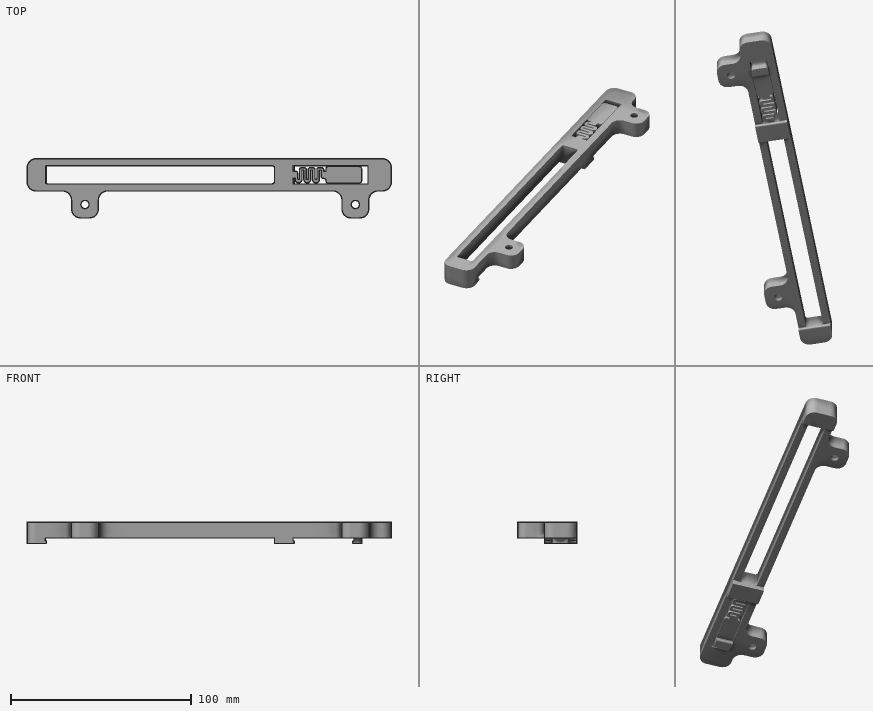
import cadquery as cq

bar_length = 202.3
bar_width = 18.0
plate_thickness = 9.0
corner_radius = 5.0

tab_width = 15.0
tab_reach = 15.0
tab_spacing = 150.0
first_tab_x = 32.2
hole_diameter = 4.5
hole_to_tip = 7.5

window_width = 10.0
long_window_start = 10.1
long_window_end = 137.3
long_window_radius = 1.2
latch_window_start = 147.7
latch_window_end = 189.1

leg_height = 3.0
lip_radius = 0.8

slider_start = 165.9
slider_end = 185.9
slider_clearance = 0.25
slider_left_radius = 1.5
slider_right_radius = 1.8
foot_length = 4.5

strip_width = 1.5
strip_gap = 0.91
strip_count = 7
first_strip_offset = 1.11
upper_bend_inner = 2.6
upper_bend_outer = 4.0
upper_bend_radius = 1.2
lower_bend_inner = -2.5
lower_bend_outer = -4.5
lower_bend_radius = 1.8
link_top = 2.0
link_bottom = -2.0
link_corner_radius = 1.2
link_root_radius = 1.2

half_bar = bar_width / 2
slider_width = window_width - 2 * slider_clearance
strip_pitch = strip_width + strip_gap
first_strip_start = latch_window_start + first_strip_offset
last_strip_start = first_strip_start + (strip_count - 1) * strip_pitch
tab_positions = [first_tab_x, first_tab_x + tab_spacing]


def block(x_start, x_end, y_start, y_end, z_start, z_end):
    """Axis-aligned box given by its limits."""
    size = (x_end - x_start, y_end - y_start, z_end - z_start)
    return cq.Workplane("XY").box(*size, centered=False).translate((x_start, y_start, z_start))


def make_bar():
    """Rounded bar without tabs, reaching down to the underside of the legs."""
    bar = block(0, bar_length, -half_bar, half_bar, -leg_height, plate_thickness)
    return bar.edges("|Z").fillet(corner_radius)


def make_plate():
    """Bar and tabs at plate thickness, with the tab roots and tips rounded."""
    plate = make_bar().intersect(block(0, bar_length, -half_bar, half_bar, 0, plate_thickness))
    tip_y = -half_bar - tab_reach
    for x in tab_positions:
        tab = block(x - tab_width / 2, x + tab_width / 2, tip_y, 0, 0, plate_thickness)
        plate = plate.union(tab.edges("|Z and <Y").fillet(corner_radius))
    for x in tab_positions:
        for side in (-1, 1):
            root = (x + side * tab_width / 2, -half_bar, plate_thickness / 2)
            plate = plate.edges(cq.selectors.NearestToPointSelector(root)).fillet(corner_radius)
    holes = (
        cq.Workplane("XY")
        .pushPoints([(x, tip_y + hole_to_tip) for x in tab_positions])
        .circle(hole_diameter / 2)
        .extrude(plate_thickness)
    )
    return plate.cut(holes)


def make_lip(x, width):
    """Half-round retaining bead at the foot of a wall at x."""
    bead = cq.Workplane("XZ").center(x, lip_radius - leg_height).circle(lip_radius)
    return bead.extrude(width / 2, both=True)


def make_legs():
    """Full-width legs at the left end and between the windows."""
    legs = cq.Workplane("XY")
    for x_start, x_end in ((0, long_window_start), (long_window_end, latch_window_start)):
        leg = make_bar().intersect(block(x_start, x_end, -half_bar, half_bar, -leg_height, 0))
        legs = legs.union(leg).union(make_lip(x_end, bar_width))
    return legs


def make_windows():
    """Cutters for the long window and the latch window."""
    half = window_width / 2
    long_window = block(long_window_start, long_window_end, -half, half, 0, plate_thickness)
    latch_window = block(latch_window_start, latch_window_end, -half, half, 0, plate_thickness)
    return long_window.edges("|Z").fillet(long_window_radius).union(latch_window)


def make_slider():
    """Latch block with a lipped foot under its right end."""
    half = slider_width / 2
    slider = (
        block(slider_start, slider_end, -half, half, -leg_height, plate_thickness)
        .edges("|Z and <X").fillet(slider_left_radius)
        .edges("|Z and >X").fillet(slider_right_radius)
    )
    foot_start = slider_end - foot_length
    slider = slider.cut(block(slider_start, foot_start, -half, half, -leg_height, 0))
    return slider.union(make_lip(foot_start, slider_width))


def plate_block(x_start, x_end, y_start, y_end):
    """Box through the plate thickness."""
    return block(x_start, x_end, y_start, y_end, 0, plate_thickness)


def make_bend(x_start, upper):
    """Bend joining the strip at x_start to the next one, rounded on its outer corners."""
    x_end = x_start + strip_pitch + strip_width
    if upper:
        bend = plate_block(x_start, x_end, upper_bend_inner, upper_bend_outer)
        return bend.edges("|Z and >Y").fillet(upper_bend_radius)
    bend = plate_block(x_start, x_end, lower_bend_outer, lower_bend_inner)
    return bend.edges("|Z and <Y").fillet(lower_bend_radius)


def make_spring():
    """Meander from the window end to the latch block, with a link at each end."""
    first_link = plate_block(latch_window_start, first_strip_start + strip_width, link_bottom, link_top)
    spring = first_link.edges("|Z and >X and >Y").fillet(link_corner_radius)
    last_link = plate_block(last_strip_start, slider_start, link_bottom, link_top)
    spring = spring.union(last_link.edges("|Z and <X and <Y").fillet(link_corner_radius))
    for i in range(strip_count):
        x = first_strip_start + i * strip_pitch
        bottom = 0 if i == strip_count - 1 else lower_bend_inner
        top = 0 if i == 0 else upper_bend_inner
        spring = spring.union(plate_block(x, x + strip_width, bottom, top))
        if i < strip_count - 1:
            spring = spring.union(make_bend(x, upper=i % 2 == 1))
    return spring


def make_latch():
    """Slider and spring joined, with the root of the last link rounded."""
    root = (slider_start, link_bottom, plate_thickness / 2)
    latch = make_slider().union(make_spring())
    return latch.edges(cq.selectors.NearestToPointSelector(root)).fillet(link_root_radius)


frame = make_plate().cut(make_windows()).union(make_legs())
result = frame.union(make_latch())